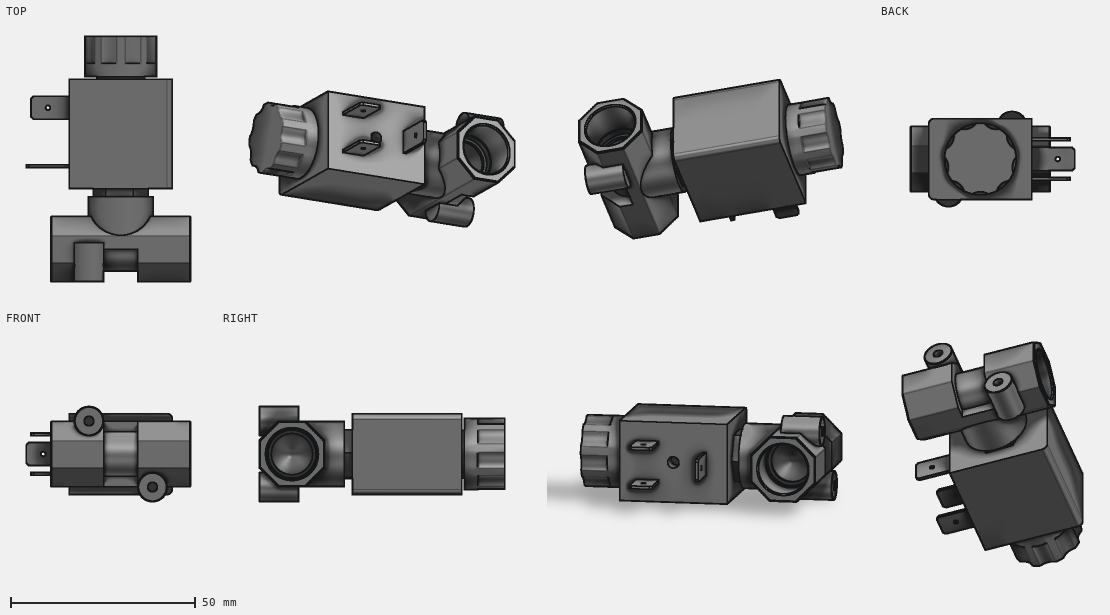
import cadquery as cq
import math


body_length = 38.0
body_sides = 8
body_width = 17.83
body_edge_rounding = 0.3
body_end_chamfer = 0.3
waist_diameter = 12.0
waist_length = 9.3

port_diameter = 13.6
port_mouth_diameter = 14.4
port_depth = 10.0
port_step_diameter = 13.0
port_step_depth = 12.0
port_drill_diameter = 11.2
port_drill_depth = 13.0
port_drill_angle = 118.0

post_diameter = 7.93
post_spacing = 17.9
post_end_chamfer = 0.15
post_length = 10.7
post_hole_diameter = 2.6
post_hole_depth = 8.0

hub_diameter = 17.7
hub_top = 14.2
hex_sides = 6
hex_flats = 13.0
hex_turn = 2.6

coil_bottom = 16.4
coil_length = 29.7
coil_width = 28.0
coil_height = 22.0
coil_rounding = 1.5
coil_hole_diameter = 3.1
coil_hole_depth = 5.0

cap_diameter = 19.5
cap_bottom = 46.755
cap_length = 11.0
collar_diameter = 13.0
flute_count = 9
flute_length = 7.3
flute_width = 4.4
flute_depth = 0.9
cap_edge_rounding = 0.15

blade_width = 6.3
blade_thickness = 0.8
blade_hole_diameter = 1.2
blade_tip_chamfer = 0.7
blade_hole_inset = 4.6
side_blade_reach = 24.35
side_blade_y = 38.35
side_blade_z = 5.35
middle_blade_reach = 25.63
middle_blade_y = 22.5

coil_face = -coil_width / 2
coil_top = coil_bottom + coil_length
cap_top = cap_bottom + cap_length


def cylinder_y(diameter, start, end, x=0.0, z=0.0):
    """Cylinder along Y from start to end."""
    base = cq.Workplane("XZ", origin=(x, start, z))
    return base.circle(diameter / 2).extrude(start - end)


def make_body():
    """Octagonal bar along X, cut to a half-round waist on the -Y side."""
    corner_diameter = body_width / math.cos(math.pi / body_sides)
    bar = (
        cq.Workplane("YZ", origin=(-body_length / 2, 0, 0))
        .transformed(rotate=(0, 0, 180 / body_sides))
        .polygon(body_sides, corner_diameter)
        .extrude(body_length)
        .edges("|X")
        .fillet(body_edge_rounding)
        .faces("<X or >X")
        .chamfer(body_end_chamfer)
    )
    relief = cq.Workplane("XY").box(
        waist_length, body_width, 2 * body_width, centered=(True, False, True)
    )
    relief = relief.translate((0, -body_width, 0))
    waist = cq.Workplane("YZ").circle(waist_diameter / 2).extrude(waist_length / 2, both=True)
    return bar.cut(relief).union(waist)


def make_port():
    """Cutter for the -X port: chamfered mouth, stepped bore and conical drill tip."""
    mouth = body_length / 2
    mouth_radius = port_mouth_diameter / 2
    bore_radius = port_diameter / 2
    step_radius = port_step_diameter / 2
    drill_radius = port_drill_diameter / 2
    mouth_chamfer = mouth_radius - bore_radius
    tip_length = drill_radius / math.tan(math.radians(port_drill_angle / 2))
    profile = (
        cq.Workplane("XY")
        .moveTo(-mouth, 0)
        .lineTo(-mouth, mouth_radius)
        .lineTo(-mouth + mouth_chamfer, bore_radius)
        .lineTo(-mouth + port_depth, bore_radius)
        .lineTo(-mouth + port_depth, step_radius)
        .lineTo(-mouth + port_step_depth, step_radius)
        .lineTo(-mouth + port_step_depth, drill_radius)
        .lineTo(-mouth + port_drill_depth, drill_radius)
        .lineTo(-mouth + port_drill_depth + tip_length, 0)
        .close()
    )
    return profile.revolve(360, (0, 0, 0), (1, 0, 0))


def make_hub():
    """Round hub on the body, with the hexagon that carries the coil."""
    hub = cylinder_y(hub_diameter, 0, hub_top)
    hexagon = (
        cq.Workplane("XZ", origin=(0, hub_top, 0))
        .transformed(rotate=(0, 0, hex_turn))
        .polygon(hex_sides, hex_flats / math.cos(math.pi / hex_sides))
        .extrude(hub_top - coil_bottom)
    )
    return hub.union(hexagon)


def make_coil():
    """Coil block with two rounded edges on +X and a blind screw hole on -X."""
    block = (
        cq.Workplane("XY")
        .box(coil_width, coil_length, coil_height, centered=(True, False, True))
        .edges("|Y and >X")
        .fillet(coil_rounding)
        .translate((0, coil_bottom, 0))
    )
    hole = (
        cq.Workplane("YZ", origin=(coil_face, coil_bottom + coil_length / 2, 0))
        .circle(coil_hole_diameter / 2)
        .extrude(coil_hole_depth)
    )
    return block.cut(hole)


def make_cap():
    """Cap with a collar below and open-ended flutes, the first one facing -Z."""
    cap = cylinder_y(cap_diameter, cap_bottom, cap_top)
    collar = cylinder_y(collar_diameter, coil_top, cap_bottom)
    cap_radius = cap_diameter / 2
    half_width = flute_width / 2
    edge_radius = math.sqrt(cap_radius**2 - half_width**2)
    sag = edge_radius - (cap_radius - flute_depth)
    cutter_radius = (half_width**2 + sag**2) / (2 * sag)
    cutter_centre = cap_radius - flute_depth + cutter_radius
    for index in range(flute_count):
        angle = 2 * math.pi * index / flute_count - math.pi / 2
        flute = cylinder_y(
            2 * cutter_radius,
            cap_top - flute_length,
            cap_top,
            cutter_centre * math.cos(angle),
            cutter_centre * math.sin(angle),
        )
        cap = cap.cut(flute)
    flute_bottom = cap_top - flute_length
    rim_and_flute_edges = cq.selectors.BoxSelector(
        (-cap_diameter, (cap_bottom + flute_bottom) / 2, -cap_diameter),
        (cap_diameter, cap_top + flute_length, cap_diameter),
    )
    cap = cap.edges(rim_and_flute_edges).fillet(cap_edge_rounding)
    return cap.union(collar)


def make_blade(reach):
    """Flat terminal blade in the XY plane, from the coil face out to -X."""
    length = reach + coil_face
    blade = (
        cq.Workplane("XY")
        .box(length, blade_width, blade_thickness, centered=(False, True, True))
        .translate((-reach, 0, 0))
        .edges("|Z and <X")
        .chamfer(blade_tip_chamfer)
    )
    hole = (
        cq.Workplane("XY", origin=(blade_hole_inset - reach, 0, 0))
        .circle(blade_hole_diameter / 2)
        .extrude(blade_thickness, both=True)
    )
    return blade.cut(hole)


result = make_body().union(make_hub()).union(make_coil()).union(make_cap())

post_start = -body_width / 2
post_x = (waist_length + post_diameter) / 2
post_z = post_spacing / 2
for side in (-1, 1):
    post = cylinder_y(post_diameter, post_start, post_start + post_length, side * post_x, -side * post_z)
    post = post.faces("<Y").chamfer(post_end_chamfer)
    hole = cylinder_y(
        post_hole_diameter, post_start, post_start + post_hole_depth, side * post_x, -side * post_z
    )
    result = result.union(post).cut(hole)

port = make_port()
result = result.cut(port).cut(port.mirror("YZ"))

for side in (-1, 1):
    side_blade = make_blade(side_blade_reach)
    result = result.union(side_blade.translate((0, side_blade_y, side * side_blade_z)))
middle_blade = make_blade(middle_blade_reach).rotate((0, 0, 0), (1, 0, 0), 90)
result = result.union(middle_blade.translate((0, middle_blade_y, 0)))